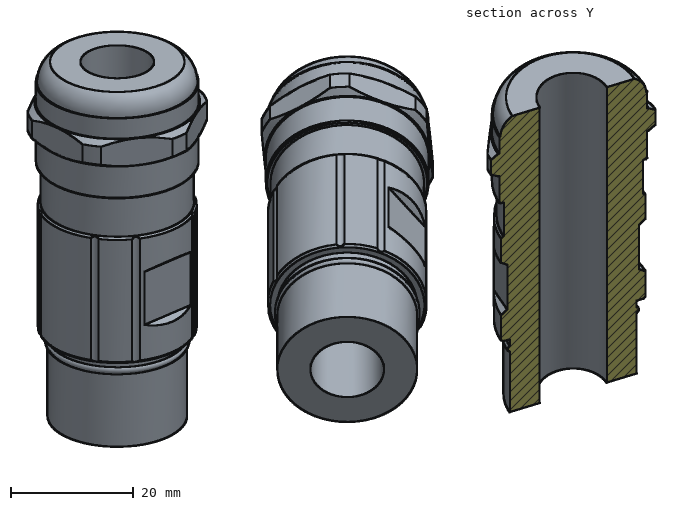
import cadquery as cq
import math

total_height = 64.5
bore_radius = 6.0

spigot_radius = 11.4
bead_bottom = 13.2
bead_height = 1.3
bead_radius = 11.8

sleeve_radius = 12.95
sleeve_bottom = 15.85
sleeve_top = 38.9
edge_chamfer = 0.4
groove_radius = 0.95
groove_depth = 0.25
groove_angles = [30, 60]

flat_offset = 11.9
flat_bottom = 22.65
flat_top = 32.3
flat_end_slope_run = 1.7
flat_end_slope_rise = 1.3

neck_radius = 12.5
cap_radius = 13.3
cap_bottom = 46.1
cap_chamfer = 0.25
dome_base = 60.8
dome_base_radius = 13.1
dome_top_radius = 10.95

hex_across_flats = 27.0
hex_corner_radius = 14.8
hex_bottom = 52.2
hex_top = 57.15
hex_chamfer_height = 0.85


def cylinder(radius, bottom, top):
    return cq.Workplane("XY").workplane(offset=bottom).circle(radius).extrude(top - bottom)


def revolve_about_z(profile):
    return profile.close().revolve(360, (0, 0, 0), (0, 1, 0))


def make_spigot():
    spigot = cylinder(spigot_radius, 0, sleeve_bottom)
    bead = revolve_about_z(
        cq.Workplane("XZ")
        .moveTo(0, bead_bottom)
        .lineTo(spigot_radius, bead_bottom)
        .threePointArc(
            (bead_radius, bead_bottom + bead_height / 2),
            (spigot_radius, bead_bottom + bead_height),
        )
        .lineTo(0, bead_bottom + bead_height)
    )
    return spigot.union(bead)


def make_wrench_flat():
    """Pocket with sloping ends that leaves a flat on the +X side of the sleeve."""
    slope = flat_end_slope_rise / flat_end_slope_run
    run = cap_radius - flat_offset
    rise = run * slope
    return (
        cq.Workplane("XZ")
        .moveTo(flat_offset, flat_bottom)
        .lineTo(flat_offset + run, flat_bottom - rise)
        .lineTo(flat_offset + run, flat_top + rise)
        .lineTo(flat_offset, flat_top)
        .close()
        .extrude(sleeve_radius, both=True)
    )


def make_sleeve():
    sleeve = cylinder(sleeve_radius, sleeve_bottom, sleeve_top).faces("<Z or >Z").chamfer(edge_chamfer)
    groove = cylinder(groove_radius, sleeve_bottom, sleeve_top)
    groove = groove.translate((sleeve_radius - groove_depth + groove_radius, 0, 0))
    for quadrant_start in range(0, 360, 90):
        for angle in groove_angles:
            sleeve = sleeve.cut(groove.rotate((0, 0, 0), (0, 0, 1), quadrant_start + angle))
    flat = make_wrench_flat()
    return sleeve.cut(flat).cut(flat.mirror("YZ"))


def make_hexagon():
    """Hexagon with corners on +X and -X, trimmed round and coned above and below."""
    flat_radius = hex_across_flats / 2
    prism = (
        cq.Workplane("XY")
        .workplane(offset=hex_bottom)
        .polygon(6, hex_across_flats / math.cos(math.pi / 6))
        .extrude(hex_top - hex_bottom)
    )
    envelope = revolve_about_z(
        cq.Workplane("XZ")
        .moveTo(0, hex_bottom)
        .lineTo(flat_radius, hex_bottom)
        .lineTo(hex_corner_radius, hex_bottom + hex_chamfer_height)
        .lineTo(hex_corner_radius, hex_top - hex_chamfer_height)
        .lineTo(flat_radius, hex_top)
        .lineTo(0, hex_top)
    )
    return prism.intersect(envelope)


def make_cap():
    """Round cap whose dome rises vertically from a small step and ends at a flat top."""
    inset = dome_base_radius - dome_top_radius
    dome_height = total_height - dome_base
    arc_radius = (inset**2 + dome_height**2) / (2 * inset)
    half_sweep = math.asin(dome_height / arc_radius) / 2
    arc_middle = (
        dome_base_radius - arc_radius * (1 - math.cos(half_sweep)),
        dome_base + arc_radius * math.sin(half_sweep),
    )
    return revolve_about_z(
        cq.Workplane("XZ")
        .moveTo(0, cap_bottom)
        .lineTo(cap_radius - cap_chamfer, cap_bottom)
        .lineTo(cap_radius, cap_bottom + cap_chamfer)
        .lineTo(cap_radius, dome_base)
        .lineTo(dome_base_radius, dome_base)
        .threePointArc(arc_middle, (dome_top_radius, total_height))
        .lineTo(0, total_height)
    )


neck = cylinder(neck_radius, sleeve_top, cap_bottom)
body = make_spigot().union(make_sleeve()).union(neck).union(make_cap()).union(make_hexagon())
result = body.cut(cylinder(bore_radius, 0, total_height))